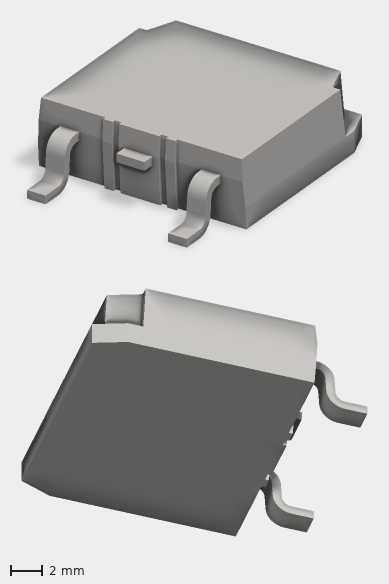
import cadquery as cq
import math


package_width = 16.0
package_length = 19.05
package_height = 5.1
draft_angle = 4.0
draft_slope = math.tan(math.radians(draft_angle))

tab_thickness = 1.6
tab_corner_width = 0.82
tab_corner_length = 2.17

parting_height = 3.55
body_front = 3.96
body_rear = 18.02
body_shoulder = 15.85
body_rear_half_width = 6.52

rib_depth = 0.27
block_width = 3.09
rib_width = 0.72
rib_offset = 2.42

lead_thickness = 0.63
lead_width = 1.45
lead_pitch = 10.9
lead_bend_start = 3.52
lead_bend_radius = 0.97
stub_width = 2.17
stub_front = 2.76

half_width = package_width / 2
embed_depth = 1.9
embed_rear = body_front + embed_depth


def heat_tab():
    """Plate with two clipped rear corners, reaching from inside the body to the rear."""
    corner_start = package_length - tab_corner_length
    rear_half_width = half_width - tab_corner_width
    outline = [
        (-half_width, embed_rear),
        (half_width, embed_rear),
        (half_width, corner_start),
        (rear_half_width, package_length),
        (-rear_half_width, package_length),
        (-half_width, corner_start),
    ]
    return cq.Workplane("XY").polyline(outline).close().extrude(tab_thickness)


def front_profile(front):
    """Side profile (Y, Z) whose front edge leans back both ways from the parting line."""
    lean_below = parting_height * draft_slope
    lean_above = (package_height - parting_height) * draft_slope
    return [
        (front + lean_below, 0),
        (front, parting_height),
        (front + lean_above, package_height),
    ]


def across(profile, width, x_centre=0.0):
    """Extrude a (Y, Z) profile along X, centred on x_centre."""
    plane = cq.Workplane("YZ", origin=(x_centre, 0, 0))
    return plane.polyline(profile).close().extrude(width / 2, both=True)


def body():
    """Straight-sided base with a drafted, shouldered upper part and a drafted front face."""
    slant = tab_corner_width / tab_corner_length
    shoulder_half_width = body_rear_half_width + (body_rear - body_shoulder) * slant
    base = cq.Workplane("XY").box(
        package_width, body_shoulder, tab_thickness, centered=(True, False, False)
    )
    outline = [
        (-half_width, 0),
        (half_width, 0),
        (half_width, body_shoulder),
        (shoulder_half_width, body_shoulder),
        (body_rear_half_width, body_rear),
        (-body_rear_half_width, body_rear),
        (-shoulder_half_width, body_shoulder),
        (-half_width, body_shoulder),
    ]
    upper = (
        cq.Workplane("XY", origin=(0, 0, tab_thickness))
        .polyline(outline)
        .close()
        .extrude(package_height - tab_thickness, taper=draft_angle)
    )
    envelope = front_profile(body_front) + [(package_length, package_height), (package_length, 0)]
    return base.union(upper).intersect(across(envelope, package_width))


def front_rib(width, x_centre):
    """Full-height rib that follows the drafted front face."""
    rear_edge = [(embed_rear, package_height), (embed_rear, 0)]
    return across(front_profile(body_front - rib_depth) + rear_edge, width, x_centre)


def gull_wing_lead(x_centre):
    """Flat lead bent down to the seating plane through two equal bends."""
    bend_angle = math.radians(90 - draft_angle)
    bend_run = lead_bend_radius * math.sin(bend_angle)
    bend_drop = lead_bend_radius * (1 - math.cos(bend_angle))
    shoulder_z = parting_height - lead_thickness / 2
    foot_z = lead_thickness / 2
    leg_top = (lead_bend_start - bend_run, shoulder_z - bend_drop)
    leg_bottom_z = foot_z + bend_drop
    leg_bottom = (leg_top[0] - (leg_top[1] - leg_bottom_z) * draft_slope, leg_bottom_z)
    foot_start = (leg_bottom[0] - bend_run, foot_z)
    path = (
        cq.Workplane("YZ", origin=(x_centre, 0, 0))
        .moveTo(embed_rear, shoulder_z)
        .lineTo(lead_bend_start, shoulder_z)
        .tangentArcPoint(leg_top, relative=False)
        .lineTo(*leg_bottom)
        .tangentArcPoint(foot_start, relative=False)
        .lineTo(0, foot_z)
    )
    section = cq.Workplane("XZ", origin=(x_centre, embed_rear, shoulder_z)).rect(lead_width, lead_thickness)
    return section.sweep(path)


def centre_stub():
    """Short straight remainder of the centre lead, level with the outer leads."""
    stub_bottom = parting_height - lead_thickness
    profile = [
        (stub_front, stub_bottom),
        (stub_front, parting_height),
        (embed_rear, parting_height),
        (embed_rear, stub_bottom),
    ]
    return across(profile, stub_width)


result = body().union(heat_tab()).union(front_rib(block_width, 0)).union(centre_stub())
for side in (-1, 1):
    result = result.union(front_rib(rib_width, side * rib_offset))
    result = result.union(gull_wing_lead(side * lead_pitch / 2))